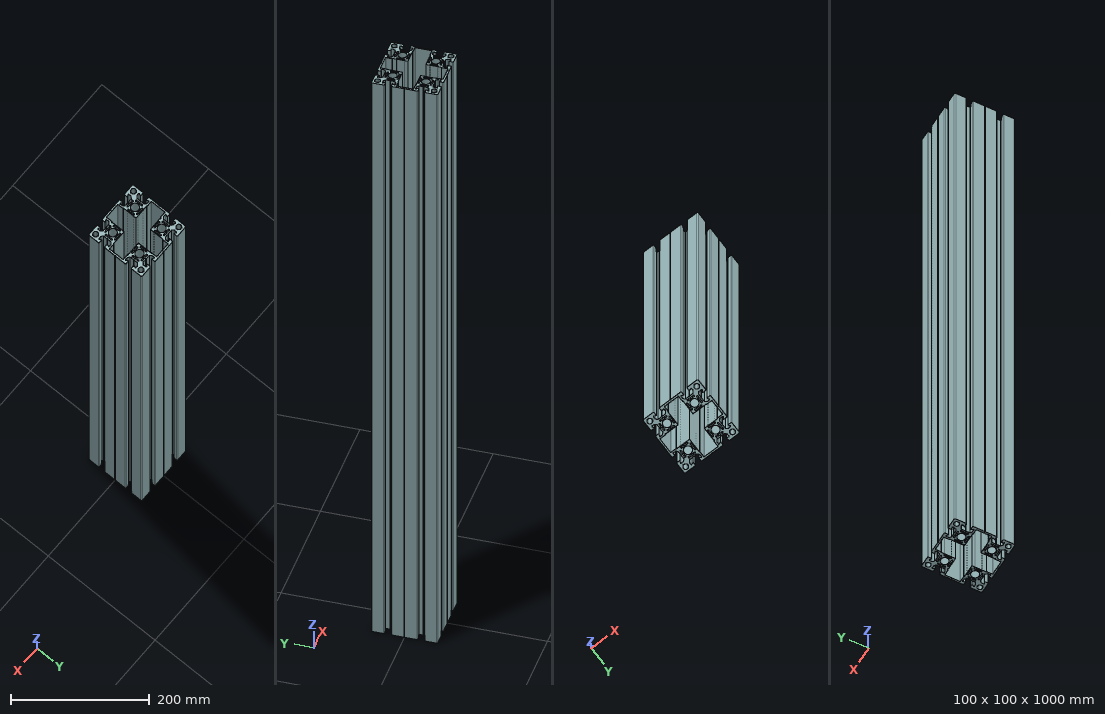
import cadquery as cq

SIDE = 100.0
LENGTH = 1000.0
EDGE_RADIUS = 2.0
HALF = SIDE / 2

SLOT_OFFSET = SIDE / 4
SLOT_MOUTH = 10.0
SLOT_CAVITY = 19.0
SLOT_FLOOR = 14.0
MOUTH_DEPTH = 6.5
SHOULDER_DEPTH = 4.5
CAVITY_STRAIGHT = 5.0
SLOT_DEPTH = 12.5
MOUTH_RADIUS = 1.3
CAVITY_RADIUS = 0.5

GROOVE_WIDTH = 1.0
GROOVE_DEPTH = 0.75

CROSS_WIDTH = 27.0
ARM_END_WIDTH = 25.5
ARM_END_START = 37.0
WALL = 3.0
CROSS_RADIUS = 0.5

BORE_DIAMETER = 13.0
CHAMBER_OFFSET = 9.0
CHAMBER_LENGTH = 12.0
CHAMBER_THICKNESS = 2.0
CHAMBER_RADIUS = 0.3

CORNER_HOLLOW = 8.0
CORNER_OFFSET = 42.5
CORNER_RADIUS = 3.5

QUARTERS = 4
QUARTER_ANGLE = 360 / QUARTERS


def prism(outline):
    """Closed polygon extruded over the whole length of the profile."""
    return cq.Workplane("XY").polyline(outline).close().extrude(LENGTH)


def bar(center_x, center_y, size_x, size_y):
    """Rectangular bar running along the whole profile."""
    return cq.Workplane("XY").center(center_x, center_y).rect(size_x, size_y).extrude(LENGTH)


def turned(solid, turn, x=0, y=0):
    """Copy of a solid, rotated by quarter turns about the vertical axis through (x, y)."""
    return solid.rotate((x, y, 0), (x, y, 1), QUARTER_ANGLE * turn)


def groove_cutter(offset, surface):
    """V-groove cut inward (+Y) from the level Y = surface, centred on X = offset."""
    half_width = GROOVE_WIDTH / 2
    tip = (offset, surface + GROOVE_DEPTH)
    return prism([(offset - half_width, surface), tip, (offset + half_width, surface)])


def slot_cutter(offset):
    """T-slot with sloping lips and a tapered floor, open on the -Y face and centred on X = offset."""
    mouth, cavity, floor = SLOT_MOUTH / 2, SLOT_CAVITY / 2, SLOT_FLOOR / 2
    lip = MOUTH_DEPTH - HALF
    shoulder = SHOULDER_DEPTH - HALF
    taper = shoulder + CAVITY_STRAIGHT
    bottom = SLOT_DEPTH - HALF
    half_outline = [(mouth, -HALF), (mouth, lip), (cavity, shoulder), (cavity, taper), (floor, bottom)]
    right = [(offset + x, y) for x, y in half_outline]
    left = [(offset - x, y) for x, y in reversed(half_outline)]
    cutter = prism(right + left).edges("|Z").edges(">X or <X").fillet(CAVITY_RADIUS)
    return cutter.union(groove_cutter(offset, bottom))


def cross_cutter():
    """Cross-shaped hollow whose arms narrow towards the faces."""
    end_reach = 2 * (HALF - WALL)
    arm_reach = 2 * ARM_END_START
    cross = bar(0, 0, end_reach, ARM_END_WIDTH).union(bar(0, 0, ARM_END_WIDTH, end_reach))
    cross = cross.union(bar(0, 0, arm_reach, CROSS_WIDTH)).union(bar(0, 0, CROSS_WIDTH, arm_reach))
    return cross.edges("|Z").edges(">X or <X or >Y or <Y").fillet(CROSS_RADIUS)


def core_cutter():
    """Screw channel and its four chambers in the +X +Y quarter."""
    center = SLOT_OFFSET
    core = cq.Workplane("XY").center(center, center).circle(BORE_DIAMETER / 2).extrude(LENGTH)
    chamber = bar(center, center - CHAMBER_OFFSET, CHAMBER_LENGTH, CHAMBER_THICKNESS)
    chamber = chamber.edges("|Z").fillet(CHAMBER_RADIUS)
    for turn in range(QUARTERS):
        core = core.union(turned(chamber, turn, center, center))
    return core


def corner_cutter():
    """Rounded square hollow in the +X +Y corner."""
    hollow = bar(CORNER_OFFSET, CORNER_OFFSET, CORNER_HOLLOW, CORNER_HOLLOW)
    return hollow.edges("|Z").fillet(CORNER_RADIUS)


def mouth_edges(body):
    """Long outer edges of all slot mouths."""
    near, far = SLOT_OFFSET - SLOT_MOUTH / 2, SLOT_OFFSET + SLOT_MOUTH / 2
    corners = [(along, face) for face in (-HALF, HALF) for along in (-far, -near, near, far)]
    corners += [(face, along) for along, face in corners]
    selectors = [cq.selectors.NearestToPointSelector((x, y, LENGTH / 2)) for x, y in corners]
    return body.newObject([body.edges(selector).val() for selector in selectors])


body = bar(0, 0, SIDE, SIDE).edges("|Z").fillet(EDGE_RADIUS).cut(cross_cutter())
cutters = [
    slot_cutter(-SLOT_OFFSET),
    slot_cutter(SLOT_OFFSET),
    groove_cutter(0, -HALF),
    core_cutter(),
    corner_cutter(),
]
for turn in range(QUARTERS):
    for cutter in cutters:
        body = body.cut(turned(cutter, turn))

result = mouth_edges(body).fillet(MOUTH_RADIUS)